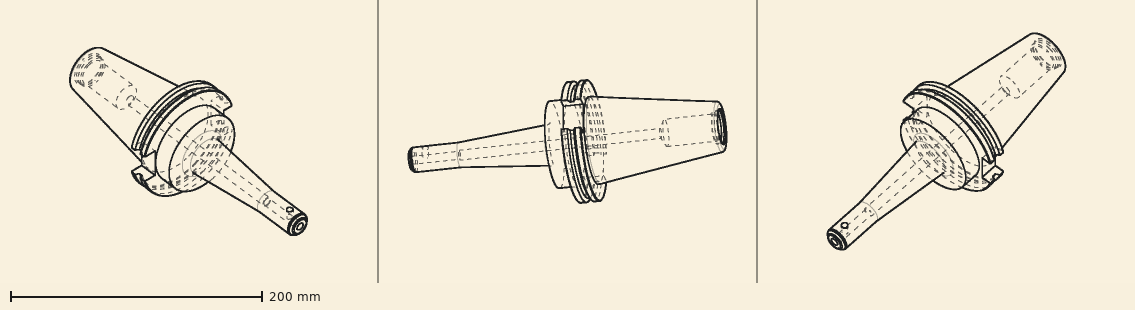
import cadquery as cq
import math

overall_length = 254.0

taper_end_x = 102.5
taper_large_diameter = 70.0
taper_slope = 7 / 24
taper_end_fillet = 2.3
collar_diameter = 69.9
collar_end_x = 136.5

flange_diameter = 97.0
flange_start_x = 104.5
flange_end_x = 120.5
flange_edge_chamfer = 0.5
groove_diameter = 90.7
groove_floor_start_x = 110.8
groove_floor_end_x = 113.5
groove_flank_run = 1.8
drive_slot_width = 25.7
slot_floor_back = 37.8
slot_floor_front = 35.5

neck_start_diameter = 33.0
neck_fillet = 4.5
neck_start_x = collar_end_x + neck_fillet
nose_start_x = 214.0
nose_diameter = 20.0
nose_chamfer_corners = [(3.5, 0), (2.3, 0.5), (0.5, 2.3), (0, 3.5)]

mouth_diameter = 26.7
mouth_step_x = 3.0
mouth_inner_diameter = 26.2
mouth_depth = 5.5
mouth_chamfer = 1.0
thread_diameter = 21.8
thread_depth = 45.7
drill_point_angle = 118.0
through_diameter = 8.0
outlet_diameter = 6.4

screw_diameter = 5.3
screw_from_end = 12.2


def make_body():
    """Revolve the outer outline, from the taper end to the nose end."""
    small_radius = (taper_large_diameter - taper_end_x * taper_slope) / 2
    taper_radius = taper_large_diameter / 2
    flange_radius = flange_diameter / 2
    groove_radius = groove_diameter / 2
    neck_radius = neck_start_diameter / 2
    nose_radius = nose_diameter / 2
    flange_edge_radius = flange_radius - flange_edge_chamfer
    fillet_end_radius = neck_radius + neck_fillet
    fillet_sag = neck_fillet * (1 - math.sqrt(0.5))

    nose_corners = [
        (overall_length - from_end, nose_radius - drop)
        for from_end, drop in nose_chamfer_corners
    ]

    return (
        cq.Workplane("XY")
        .lineTo(0, small_radius)
        .lineTo(taper_end_x, taper_radius)
        .lineTo(flange_start_x, taper_radius)
        .lineTo(flange_start_x, flange_edge_radius)
        .lineTo(flange_start_x + flange_edge_chamfer, flange_radius)
        .lineTo(groove_floor_start_x - groove_flank_run, flange_radius)
        .lineTo(groove_floor_start_x, groove_radius)
        .lineTo(groove_floor_end_x, groove_radius)
        .lineTo(groove_floor_end_x + groove_flank_run, flange_radius)
        .lineTo(flange_end_x - flange_edge_chamfer, flange_radius)
        .lineTo(flange_end_x, flange_edge_radius)
        .lineTo(flange_end_x, collar_diameter / 2)
        .lineTo(collar_end_x, collar_diameter / 2)
        .lineTo(collar_end_x, fillet_end_radius)
        .threePointArc(
            (collar_end_x + fillet_sag, neck_radius + fillet_sag),
            (neck_start_x, neck_radius),
        )
        .lineTo(nose_start_x, nose_radius)
        .polyline(nose_corners, includeCurrent=True)
        .lineTo(overall_length, 0)
        .close()
        .revolve(360, (0, 0, 0), (1, 0, 0))
        .faces("<X")
        .edges()
        .fillet(taper_end_fillet)
    )


def make_bores():
    """Revolve the stepped bore: mouth, thread bore, drill point, through hole, outlet."""
    mouth_radius = mouth_diameter / 2
    mouth_inner_radius = mouth_inner_diameter / 2
    thread_radius = thread_diameter / 2
    through_radius = through_diameter / 2
    half_point_angle = math.radians(drill_point_angle / 2)
    point_length = (thread_radius - through_radius) / math.tan(half_point_angle)

    return (
        cq.Workplane("XY")
        .lineTo(0, mouth_radius + mouth_chamfer)
        .lineTo(mouth_chamfer, mouth_radius)
        .lineTo(mouth_step_x, mouth_radius)
        .lineTo(mouth_step_x, mouth_inner_radius)
        .lineTo(mouth_depth, mouth_inner_radius)
        .lineTo(mouth_depth, thread_radius)
        .lineTo(thread_depth, thread_radius)
        .lineTo(thread_depth + point_length, through_radius)
        .lineTo(nose_start_x, through_radius)
        .lineTo(nose_start_x, outlet_diameter / 2)
        .lineTo(overall_length, outlet_diameter / 2)
        .lineTo(overall_length, 0)
        .close()
        .revolve(360, (0, 0, 0), (1, 0, 0))
    )


def make_drive_slot(floor_distance, side):
    """Box that cuts one drive slot; side is +1 for +Y and -1 for -Y."""
    slot_length = flange_end_x - flange_start_x
    slot_depth = flange_diameter / 2 - floor_distance
    centre_x = (flange_start_x + flange_end_x) / 2
    centre_y = side * (floor_distance + slot_depth / 2)
    slot = cq.Workplane("XY").box(slot_length, slot_depth, drive_slot_width)
    return slot.translate((centre_x, centre_y, 0))


def make_screw_hole():
    """Radial hole from the top of the nose down to the outlet."""
    return (
        cq.Workplane("XY")
        .center(overall_length - screw_from_end, 0)
        .circle(screw_diameter / 2)
        .extrude(nose_diameter)
    )


result = (
    make_body()
    .cut(make_bores())
    .cut(make_drive_slot(slot_floor_back, 1))
    .cut(make_drive_slot(slot_floor_front, -1))
    .cut(make_screw_hole())
)